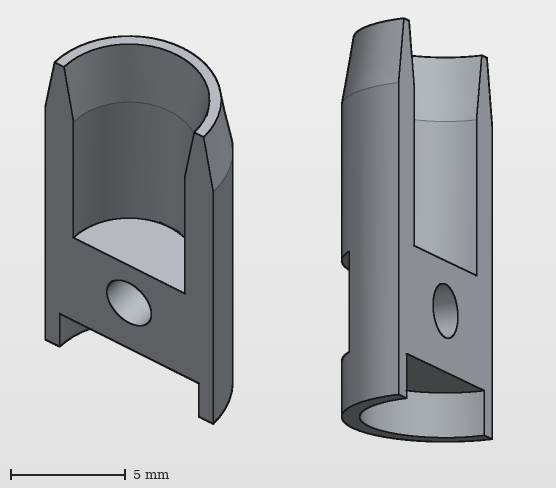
import cadquery as cq

height = 17.0
outer_radius = 4.52

taper_height = 3.0
taper_start = height - taper_height
taper_inset = 0.51
mouth_outer_radius = outer_radius - taper_inset

bore_radius = 3.0
bore_floor = 7.0
mouth_bore_radius = bore_radius + taper_inset

recess_radius = 3.74
recess_depth = 2.0

flat_bottom = 2.5
flat_height = bore_floor - flat_bottom
flat_distance = bore_radius
flat_depth = outer_radius - flat_distance

hole_diameter = 2.4
hole_height = flat_bottom + flat_height / 2


def half_revolve(profile):
    """Revolve (radius, height) points half a turn about Z, onto the +Y side."""
    half_turn = 180
    return cq.Workplane("XZ").polyline(profile).close().revolve(half_turn, (0, 0), (0, 1))


def make_body():
    """Half-round sleeve with a solid web between the bore and the recess."""
    return half_revolve([
        (0, recess_depth),
        (recess_radius, recess_depth),
        (recess_radius, 0),
        (outer_radius, 0),
        (outer_radius, taper_start),
        (mouth_outer_radius, height),
        (mouth_bore_radius, height),
        (bore_radius, taper_start),
        (bore_radius, bore_floor),
        (0, bore_floor),
    ])


def make_back_flat():
    """Block removed from the curved back to leave the flat."""
    return (
        cq.Workplane("XY")
        .box(2 * outer_radius, flat_depth, flat_height, centered=(True, False, False))
        .translate((0, flat_distance, flat_bottom))
    )


def make_cross_hole():
    """Cylinder along Y through the web."""
    return (
        cq.Workplane("XZ")
        .center(0, hole_height)
        .circle(hole_diameter / 2)
        .extrude(-outer_radius)
    )


result = make_body().cut(make_back_flat()).cut(make_cross_hole())